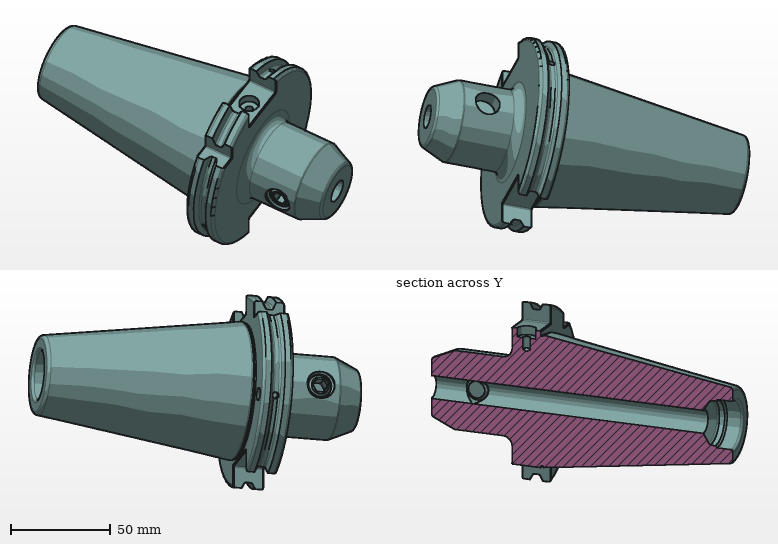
import cadquery as cq
import math

drill_point_angle = 118.0

total_length = 164.8
gauge_x = 102.5
collar_end_x = 103.5
flange_front_x = 105.0
flange_width = 16.0
flange_back_x = flange_front_x + flange_width
nose_root_x = 125.7
nose_cone_x = 152.0

gauge_radius = 35.1
taper_slope = 7 / 48
small_end_radius = gauge_radius - taper_slope * gauge_x
small_end_fillet = 2.0
neck_radius = 34.5
neck_start_x = collar_end_x + gauge_radius - neck_radius
nose_radius = 21.1
nose_cone_angle = 24.0
nose_cone_fillet = 1.3
nose_end_radius = nose_radius - (total_length - nose_cone_x) * math.tan(math.radians(nose_cone_angle))
nose_end_fillet = 1.8

flange_diameter = 97.4
flange_radius = flange_diameter / 2
flange_edge_fillet = 1.5
groove_mouth = 7.1
groove_depth = 3.1
groove_angle = 60.0
groove_floor_fillet = 1.2
groove_x = (flange_front_x + flange_back_x) / 2

slot_width = 26.0
top_slot_z = 37.2
bottom_slot_z = 35.5
notch_side = 30.0
slot_edge_chamfer = 0.5
slot_corner_fillet = 0.5
slot_overrun = 1.6

chip_hole_diameter = 10.0
chip_hole_depth = 4.6
chip_screw_diameter = 4.0
chip_screw_depth = 10.7

coolant_angles = (20.0, 200.0)
coolant_pitch_radius = 41.5
coolant_diameter = 6.5
coolant_tilt = 30.0
coolant_length = 11.5
groove_hole_diameter = 3.3
groove_hole_depth = 3.3
groove_hole_angles = (*coolant_angles, 60.0)

guide_radius = 12.7
mouth_fillet = 1.3
guide_end_x = 8.5
seat_radius = 11.7
seat_start_x = 9.5
seat_end_x = 12.4
throat_radius = 10.7
throat_x = 13.3
shank_radius = 6.0

screw_x = 142.2
screw_radius = 6.0
screw_tip_y = -4.8
screw_head_y = -19.0
screw_end_chamfer = 1.5
socket_width = 6.6
socket_depth = 6.6
screw_hole_mouth_radius = 7.1
balance_hole_x = 139.5
balance_hole_diameter = 12.9
balance_hole_depth = 8.2


def turned(points):
    """Revolve a closed (x, radius) outline about the X axis."""
    return cq.Workplane("XZ").polyline(points).close().revolve(360, (0, 0, 0), (1, 0, 0))


def circle_edges(body, x, radius):
    """Full circular edges about the X axis at a given station and radius."""
    tol = 0.02
    box = cq.selectors.BoxSelector(
        (x - tol, -radius - tol, -radius - tol), (x + tol, radius + tol, radius + tol), boundingbox=True
    )
    inner = cq.selectors.BoxSelector(
        (x - tol, -radius + tol, -radius + tol), (x + tol, radius - tol, radius - tol), boundingbox=True
    )
    return body.edges(box - inner)


def make_blank():
    """Taper, flange and nose as one turned body."""
    blank = turned([
        (0, 0),
        (0, small_end_radius),
        (gauge_x, gauge_radius),
        (collar_end_x, gauge_radius),
        (neck_start_x, neck_radius),
        (flange_front_x, neck_radius),
        (flange_front_x, flange_radius),
        (flange_back_x, flange_radius),
        (flange_back_x, nose_radius),
        (nose_cone_x, nose_radius),
        (total_length, nose_end_radius),
        (total_length, 0),
    ])
    blank = circle_edges(blank, 0, small_end_radius).fillet(small_end_fillet)
    blank = circle_edges(blank, flange_front_x, flange_radius).fillet(flange_edge_fillet)
    blank = circle_edges(blank, flange_back_x, flange_radius).fillet(flange_edge_fillet)
    blank = circle_edges(blank, flange_back_x, nose_radius).fillet(nose_root_x - flange_back_x)
    blank = circle_edges(blank, nose_cone_x, nose_radius).fillet(nose_cone_fillet)
    return circle_edges(blank, total_length, nose_end_radius).fillet(nose_end_fillet)


def make_groove():
    """V groove round the flange, with a rounded floor."""
    half_mouth = groove_mouth / 2
    half_floor = half_mouth - groove_depth * math.tan(math.radians(groove_angle / 2))
    floor_radius = flange_radius - groove_depth
    groove = turned([
        (groove_x - half_mouth, flange_radius),
        (groove_x - half_floor, floor_radius),
        (groove_x + half_floor, floor_radius),
        (groove_x + half_mouth, flange_radius),
    ])
    for side in (-1, 1):
        groove = circle_edges(groove, groove_x + side * half_floor, floor_radius).fillet(groove_floor_fillet)
    return groove


def slot_outline(width, height, corner_radius):
    """Rectangle with rounded corners."""
    return cq.Sketch().rect(width, height).vertices().fillet(corner_radius)


def slot_cutter(y_min, y_max, z_min, z_max):
    """Bar through the flange, flared at both flange faces to chamfer the slot edges."""
    y_mid = (y_min + y_max) / 2
    z_mid = (z_min + z_max) / 2
    width = y_max - y_min
    height = z_max - z_min
    outline = slot_outline(width, height, slot_corner_fillet)
    flared_outline = slot_outline(
        width + 2 * slot_edge_chamfer, height + 2 * slot_edge_chamfer, slot_corner_fillet + slot_edge_chamfer
    )
    cutter = cq.Workplane("YZ", origin=(flange_front_x, y_mid, z_mid)).placeSketch(outline).extrude(flange_width)
    for face_x, depth in ((flange_front_x, slot_edge_chamfer), (flange_back_x, -slot_edge_chamfer)):
        flare = (
            cq.Workplane("YZ", origin=(face_x, y_mid, z_mid))
            .placeSketch(flared_outline, outline.moved(cq.Location(cq.Vector(0, 0, depth))))
            .loft()
        )
        cutter = cutter.union(flare)
    return cutter


def make_slots():
    """Two drive slots and the orientation notch."""
    half = slot_width / 2
    beyond = flange_radius + slot_overrun
    top = slot_cutter(-half, half, top_slot_z, beyond)
    bottom = slot_cutter(-half, half, -beyond, -bottom_slot_z)
    notch = slot_cutter(-beyond, -notch_side, notch_side, beyond)
    return top.union(bottom).union(notch)


def make_chip_hole():
    """Flat-bottomed hole in the top slot with a small drilled hole in its floor."""
    mouth = cq.Workplane("XY", origin=(groove_x, 0, top_slot_z))
    pocket = mouth.circle(chip_hole_diameter / 2).extrude(-chip_hole_depth)
    drill_radius = chip_screw_diameter / 2
    point_depth = chip_screw_depth + drill_radius / math.tan(math.radians(drill_point_angle / 2))
    drilled = (
        cq.Workplane("XZ", origin=(groove_x, 0, top_slot_z))
        .polyline([(0, 0), (drill_radius, 0), (drill_radius, -chip_screw_depth), (0, -point_depth)])
        .close()
        .revolve(360, (0, 0, 0), (0, 1, 0))
    )
    return pocket.union(drilled)


def make_coolant_hole(angle):
    """Hole from the front flange face, leaning toward the axis, at an angle from +Y."""
    lean = math.radians(coolant_tilt)
    direction = cq.Vector(math.cos(lean), -math.sin(lean), 0)
    mouth = cq.Vector(flange_front_x, coolant_pitch_radius, 0)
    start = mouth - direction * coolant_diameter
    hole = cq.Solid.makeCylinder(coolant_diameter / 2, coolant_length + coolant_diameter, start, direction)
    return hole.rotate(cq.Vector(0, 0, 0), cq.Vector(1, 0, 0), angle)


def make_groove_hole(angle):
    """Small radial hole in the groove floor at an angle from +Y."""
    bottom = cq.Vector(groove_x, flange_radius - groove_depth - groove_hole_depth, 0)
    hole = cq.Solid.makeCylinder(
        groove_hole_diameter / 2, groove_depth + groove_hole_depth, bottom, cq.Vector(0, 1, 0)
    )
    return hole.rotate(cq.Vector(0, 0, 0), cq.Vector(1, 0, 0), angle)


def make_bore():
    """Stepped bore: rounded mouth, guide, short seat, drill point and shank hole."""
    point_length = (throat_radius - shank_radius) / math.tan(math.radians(drill_point_angle / 2))
    mouth_radius = guide_radius + mouth_fillet
    mouth_mid = mouth_fillet * (1 - math.sqrt(0.5))
    return (
        cq.Workplane("XZ")
        .moveTo(0, 0)
        .lineTo(0, mouth_radius)
        .threePointArc((mouth_mid, guide_radius + mouth_mid), (mouth_fillet, guide_radius))
        .lineTo(guide_end_x, guide_radius)
        .lineTo(seat_start_x, seat_radius)
        .lineTo(seat_end_x, seat_radius)
        .lineTo(throat_x, throat_radius)
        .lineTo(throat_x + point_length, shank_radius)
        .lineTo(total_length, shank_radius)
        .lineTo(total_length, 0)
        .close()
        .revolve(360, (0, 0, 0), (1, 0, 0))
    )


def make_screw_hole():
    """Hole for the set screw, from the -Y side into the bore, with a chamfered mouth."""
    hole = cq.Workplane("XZ", origin=(screw_x, 0, 0)).circle(screw_radius).extrude(nose_radius)
    rim_y = math.sqrt(nose_radius**2 - screw_hole_mouth_radius**2)
    chamfer = screw_hole_mouth_radius - screw_radius
    countersink = (
        cq.Workplane("XY", origin=(screw_x, 0, 0))
        .polyline([
            (0, -rim_y + chamfer),
            (screw_radius, -rim_y + chamfer),
            (screw_hole_mouth_radius, -rim_y),
            (screw_hole_mouth_radius, -nose_radius),
            (0, -nose_radius),
        ])
        .close()
        .revolve(360, (0, 0, 0), (0, 1, 0))
    )
    return hole.union(countersink)


def make_balance_hole():
    """Blind hole in the +Y side of the nose."""
    return (
        cq.Workplane("XZ", origin=(balance_hole_x, nose_radius, 0))
        .circle(balance_hole_diameter / 2)
        .extrude(balance_hole_depth)
    )


def make_holder():
    holder = make_blank().cut(make_groove()).cut(make_slots())
    holder = holder.cut(make_chip_hole()).cut(make_bore())
    for angle in coolant_angles:
        holder = holder.cut(cq.Workplane(make_coolant_hole(angle)))
    for angle in groove_hole_angles:
        holder = holder.cut(cq.Workplane(make_groove_hole(angle)))
    return holder.cut(make_screw_hole()).cut(make_balance_hole())


def make_set_screw():
    """Headless screw with a hexagon socket, its tip standing into the bore."""
    socket_corners = socket_width * 2 / math.sqrt(3)
    return (
        cq.Workplane("XZ", origin=(screw_x, screw_tip_y, 0))
        .circle(screw_radius)
        .extrude(screw_tip_y - screw_head_y)
        .faces("|Y")
        .chamfer(screw_end_chamfer)
        .faces("<Y")
        .workplane()
        .polygon(6, socket_corners)
        .cutBlind(-socket_depth)
    )


holder = make_holder()
set_screw = make_set_screw()

result = cq.Compound.makeCompound([holder.val(), set_screw.val()])